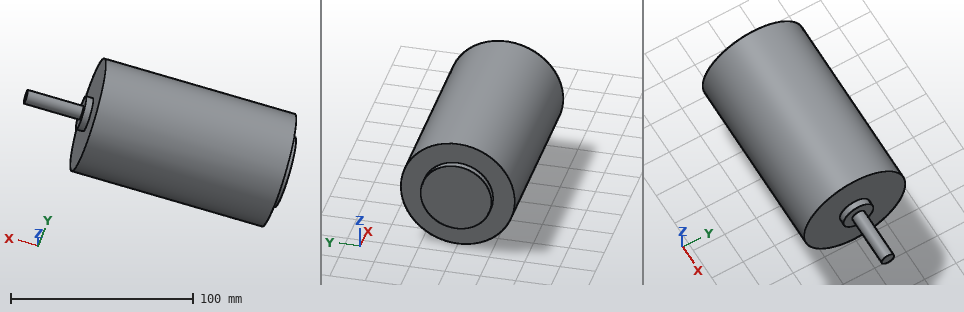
import cadquery as cq

body_diameter = 64.41
body_length = 109.6
rear_boss_diameter = 40.0
rear_boss_length = 3.8
front_boss_diameter = 19.05
front_boss_length = 4.0
overall_length = 149.2
shaft_diameter = 7.95
shaft_length = overall_length - rear_boss_length - body_length - front_boss_length


def cylinder_along_x(start_x, diameter, length):
    """Solid cylinder on the X axis, running from start_x toward +X."""
    return cq.Workplane("YZ", origin=(start_x, 0, 0)).circle(diameter / 2).extrude(length)


rear_boss = cylinder_along_x(-rear_boss_length, rear_boss_diameter, rear_boss_length)
body = cylinder_along_x(0, body_diameter, body_length)
front_boss = cylinder_along_x(body_length, front_boss_diameter, front_boss_length)
shaft = cylinder_along_x(body_length + front_boss_length, shaft_diameter, shaft_length)

result = body.union(rear_boss).union(front_boss).union(shaft)